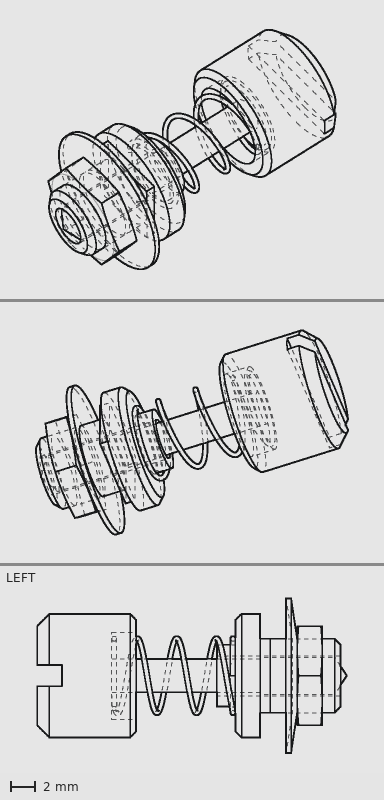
import cadquery as cq
import math


BODY_RADIUS = 3.0
BUSHING_FRONT_Y = 0.5
BUSHING_CHAMFER = 0.5
BUSHING_BORE_RADIUS = 1.62
FLANGE_RADIUS = 5.0
FLANGE_SEAT_Y = 7.0
FLANGE_THICKNESS = 2.0
FLANGE_CHAMFER = 0.5
FLANGE_BACK_Y = FLANGE_SEAT_Y + FLANGE_THICKNESS
BOSS_RADIUS = 2.5
BOSS_LENGTH = 1.5
BOSS_BACK_Y = FLANGE_BACK_Y + BOSS_LENGTH
SQUARE_SIDE = 2 * BODY_RADIUS
SQUARE_LENGTH = 0.8

NUT_FRONT_Y = 2.0
NUT_THICKNESS = 2.0
NUT_ACROSS_FLATS = 8.0
NUT_CORNER_RADIUS = NUT_ACROSS_FLATS / 2 / math.cos(math.pi / 6)
NUT_CORNER_DROP = 0.1
NUT_BACK_Y = NUT_FRONT_Y + NUT_THICKNESS

WASHER_RADIUS = 6.25
WASHER_THICKNESS = 0.42
WASHER_DISH = 0.5

KNOB_RADIUS = 5.0
KNOB_LENGTH = 8.0
KNOB_BACK_Y = 25.0
KNOB_FRONT_Y = KNOB_BACK_Y - KNOB_LENGTH
KNOB_BACK_CHAMFER = 1.0
KNOB_FRONT_CHAMFER = 0.5
CAVITY_RADIUS = 3.5
CAVITY_DEPTH = 2.0
CAVITY_FLOOR_Y = KNOB_FRONT_Y + CAVITY_DEPTH
SLOT_WIDTH = 1.7
SLOT_DEPTH = 2.0
SHANK_RADIUS = 1.35
TIP_RADIUS = 1.5
TIP_CONE_LENGTH = 1.0
TIP_BACK_Y = FLANGE_SEAT_Y

COIL_RADIUS = 3.0
WIRE_RADIUS = 0.2
PITCH = 3.2
FLAT_TURNS = 0.75
BLEND_TURNS = 0.17
POINTS_PER_TURN = 24


def turned(profile):
    """Solid of revolution about Y from (radius, y) points."""
    return cq.Workplane("XY").polyline(profile).close().revolve(360, (0, 0, 0), (0, 1, 0))


def facing_front(start_y):
    """Workplane at the given height, extruding toward -Y."""
    return cq.Workplane("XZ", origin=(0, start_y, 0))


def make_bushing():
    body = turned([
        (BUSHING_BORE_RADIUS, BUSHING_FRONT_Y),
        (BODY_RADIUS - BUSHING_CHAMFER, BUSHING_FRONT_Y),
        (BODY_RADIUS, BUSHING_FRONT_Y + BUSHING_CHAMFER),
        (BODY_RADIUS, FLANGE_SEAT_Y),
        (FLANGE_RADIUS, FLANGE_SEAT_Y),
        (FLANGE_RADIUS, FLANGE_BACK_Y - FLANGE_CHAMFER),
        (FLANGE_RADIUS - FLANGE_CHAMFER, FLANGE_BACK_Y),
        (BOSS_RADIUS, FLANGE_BACK_Y),
        (BOSS_RADIUS, BOSS_BACK_Y),
        (BUSHING_BORE_RADIUS, BOSS_BACK_Y),
    ])
    square = (
        facing_front(FLANGE_SEAT_Y)
        .rect(SQUARE_SIDE, SQUARE_SIDE)
        .circle(BUSHING_BORE_RADIUS)
        .extrude(SQUARE_LENGTH)
    )
    return body.union(square)


def make_nut():
    prism = (
        facing_front(NUT_BACK_Y)
        .polygon(6, 2 * NUT_CORNER_RADIUS)
        .circle(BODY_RADIUS)
        .extrude(NUT_THICKNESS)
    )
    envelope = turned([
        (0, NUT_FRONT_Y),
        (NUT_ACROSS_FLATS / 2, NUT_FRONT_Y),
        (NUT_CORNER_RADIUS, NUT_FRONT_Y + NUT_CORNER_DROP),
        (NUT_CORNER_RADIUS, NUT_BACK_Y - NUT_CORNER_DROP),
        (NUT_ACROSS_FLATS / 2, NUT_BACK_Y),
        (0, NUT_BACK_Y),
    ])
    return prism.intersect(envelope)


def make_washer():
    rim_y = NUT_BACK_Y + WASHER_DISH
    return turned([
        (BODY_RADIUS, NUT_BACK_Y),
        (WASHER_RADIUS, rim_y),
        (WASHER_RADIUS, rim_y + WASHER_THICKNESS),
        (BODY_RADIUS, NUT_BACK_Y + WASHER_THICKNESS),
    ])


def make_knob_screw():
    body = turned([
        (0, 0),
        (TIP_RADIUS, TIP_CONE_LENGTH),
        (TIP_RADIUS, TIP_BACK_Y),
        (SHANK_RADIUS, TIP_BACK_Y),
        (SHANK_RADIUS, CAVITY_FLOOR_Y),
        (CAVITY_RADIUS, CAVITY_FLOOR_Y),
        (CAVITY_RADIUS, KNOB_FRONT_Y),
        (KNOB_RADIUS - KNOB_FRONT_CHAMFER, KNOB_FRONT_Y),
        (KNOB_RADIUS, KNOB_FRONT_Y + KNOB_FRONT_CHAMFER),
        (KNOB_RADIUS, KNOB_BACK_Y - KNOB_BACK_CHAMFER),
        (KNOB_RADIUS - KNOB_BACK_CHAMFER, KNOB_BACK_Y),
        (0, KNOB_BACK_Y),
    ])
    slot = facing_front(KNOB_BACK_Y).rect(2 * KNOB_RADIUS, SLOT_WIDTH).extrude(SLOT_DEPTH)
    return body.cut(slot)


def rise(turns):
    """Climb of the wire after some turns: level, then a parabolic bend, then full pitch."""
    bent = turns - FLAT_TURNS
    if bent <= 0:
        return 0.0
    if bent < BLEND_TURNS:
        return PITCH * bent ** 2 / (2 * BLEND_TURNS)
    return PITCH * (bent - BLEND_TURNS / 2)


def make_spring():
    start_y = FLANGE_BACK_Y + WIRE_RADIUS
    end_y = CAVITY_FLOOR_Y - WIRE_RADIUS
    total_turns = (end_y - start_y) / PITCH + 2 * FLAT_TURNS + BLEND_TURNS
    steps = math.ceil(total_turns * POINTS_PER_TURN)

    def wire_point(step):
        turns = total_turns * step / steps
        angle = 2 * math.pi * turns
        if turns < total_turns / 2:
            y = start_y + rise(turns)
        else:
            y = end_y - rise(total_turns - turns)
        return cq.Vector(-COIL_RADIUS * math.cos(angle), y, COIL_RADIUS * math.sin(angle))

    path = cq.Workplane("XY").spline([wire_point(step) for step in range(steps + 1)])
    section = cq.Workplane("XY", origin=wire_point(0).toTuple()).circle(WIRE_RADIUS)
    return section.sweep(path)


bushing = make_bushing()
nut = make_nut()
washer = make_washer()
knob_screw = make_knob_screw()
spring = make_spring()

result = cq.Compound.makeCompound(
    [bushing.val(), nut.val(), washer.val(), knob_screw.val(), spring.val()]
)